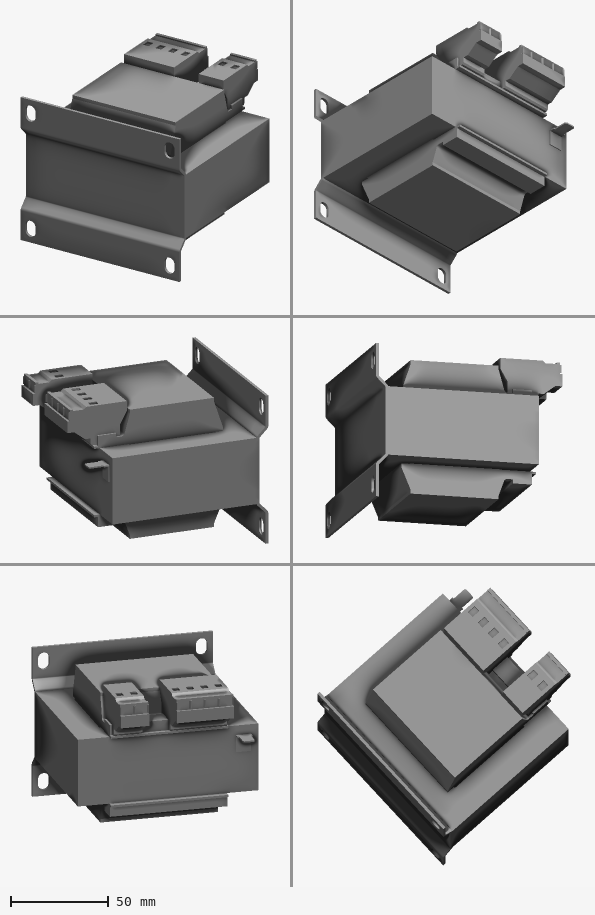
import cadquery as cq
import math


WIDTH = 96.0
BRACKET_HEIGHT = 80.5
MID_Z = BRACKET_HEIGHT / 2
SHEET = 1.5
BRACKET_OFFSET = 5.0
WEB_HALF_HEIGHT = 17.75
BEND_ANGLE = 45.0
BEND_RADIUS = 0.7
SLOT_WIDTH = 6.0
SLOT_LENGTH = 9.0
SLOT_SPACING_X = 84.0
SLOT_SPACING_Z = 65.0

CORE_STACK = 36.0
LEG = WIDTH / 6
CORE_DEPTH = 5 * LEG
CORE_FRONT = BRACKET_OFFSET + SHEET
CORE_BACK = CORE_FRONT + CORE_DEPTH
CORE_TOP = MID_Z + CORE_STACK / 2
WINDOW_FRONT = CORE_FRONT + LEG
WINDOW_BACK = CORE_BACK - LEG

FORMER_WIDTH = 62.5
FORMER_TOP = 36.6
FORMER_BOTTOM = 33.6
FORMER_FRONT = 18.15
FORMER_FACE_FRONT = 23.1
FORMER_FACE_BACK = 69.8
FACE_EDGE = 1.9
FRONT_EDGE = 2.1
GROOVE_HEIGHT = CORE_STACK / 2 + 4.7
GROOVE_FRONT = 73.15
GROOVE_BACK = 77.4
GROOVE_FILLET = 1.75
RAIL_HEIGHT = CORE_STACK / 2 + 6.8
RAIL_BACK = 87.5
LIP_BACK = 89.6
LIP_THICKNESS = 1.2

BLOCK_WIDTH = 15.1
FIRST_BLOCK_LEFT = -30.1
THIRD_BLOCK_LEFT = 14.95
BLOCK_LEFT_EDGES = (FIRST_BLOCK_LEFT, FIRST_BLOCK_LEFT + BLOCK_WIDTH, THIRD_BLOCK_LEFT)
POLES = 2
POLE_PITCH = BLOCK_WIDTH / POLES
BLOCK_FRONT = 71.0
BLOCK_BACK = 104.0
BLOCK_TOP = 81.3
BLOCK_FRONT_BOTTOM = 75.9
BLOCK_BACK_WALL = 102.7
BLOCK_BACK_WALL_TOP = 80.8
LEDGE_TOP = 74.8
LEDGE_BOTTOM = 68.4
UNDERSIDE_BACK = 100.3
UNDERSIDE_FRONT = 94.2
UNDERSIDE_BOTTOM = 63.8
REAR_CLAW_BACK = 91.2
REAR_CLAW_BOTTOM = 59.9
REAR_CLAW_BEVEL_Y = 0.8
REAR_CLAW_BEVEL_Z = 1.0
FRONT_CLAW_FRONT = 74.8
FRONT_CLAW_TOP = 69.2
RECESS_FLOOR = 80.0
RECESS_BACK = 101.0
RECESS_FRONT = 95.0
RECESS_SLOPE_FRONT = 93.6
POCKET_WIDTH = 3.5
POCKET_LENGTH = 4.6
POCKET_DEPTH = 1.0
POCKET_Y = 88.1
RIB_HALF_WIDTH = 0.8
RIB_BACK = 103.4
RIB_BOTTOM = 75.4
RIB_TOP = 79.5

TAB_X = -40.0
TAB_THICKNESS = 0.8
TAB_TOP = 53.2
TAB_BASE_WIDTH = 8.0
TAB_BASE_BACK = 89.6
BLADE_WIDTH = 6.3
BLADE_BACK = 97.6
BLADE_CORNER = 1.0
FOOT_THICKNESS = 0.5
FOOT_BOTTOM = 44.0


def box(x_range, y_range, z_range):
    """Box between the given limits."""
    sizes = [high - low for low, high in (x_range, y_range, z_range)]
    corner = (x_range[0], y_range[0], z_range[0])
    return cq.Workplane("XY").box(*sizes, centered=False).translate(corner)


def centred_box(x, width, y_range, z_range):
    """Box of the given width about x."""
    return box((x - width / 2, x + width / 2), y_range, z_range)


def side_profile(points, left, width):
    """Outline of (y, z) points extruded along +X from the left edge."""
    return cq.Workplane("YZ", origin=(left, 0, 0)).polyline(points).close().extrude(width)


def make_bracket():
    corner_shift = SHEET * math.tan(math.radians(BEND_ANGLE / 2))
    rise = BRACKET_OFFSET * math.tan(math.radians(BEND_ANGLE))
    inner_front = (BRACKET_OFFSET, WEB_HALF_HEIGHT)
    outer_front = (0, WEB_HALF_HEIGHT + rise)
    inner_rear = (BRACKET_OFFSET + SHEET, WEB_HALF_HEIGHT + corner_shift)
    outer_rear = (SHEET, WEB_HALF_HEIGHT + rise + corner_shift)
    flange_end = [(0, BRACKET_HEIGHT / 2), (SHEET, BRACKET_HEIGHT / 2)]
    upper = [inner_front, outer_front, *flange_end, outer_rear, inner_rear]
    lower = [(y, -height) for y, height in reversed(upper)]
    outline = [(y, MID_Z + height) for y, height in upper + lower]
    bracket = side_profile(outline, -WIDTH / 2, WIDTH)

    def round_bends(body, corners, radius):
        """Fillet the X edges at these corners, above and below the mid plane."""
        edges = []
        for y, height in corners:
            for side in (1, -1):
                nearest = cq.selectors.NearestToPointSelector((0, y, MID_Z + side * height))
                edges += body.edges("|X").edges(nearest).vals()
        return body.newObject(edges).fillet(radius)

    bracket = round_bends(bracket, (inner_front, outer_rear), BEND_RADIUS)
    bracket = round_bends(bracket, (outer_front, inner_rear), BEND_RADIUS + SHEET)

    slots = (
        cq.Workplane("XZ", origin=(0, 0, MID_Z))
        .rarray(SLOT_SPACING_X, SLOT_SPACING_Z, 2, 2)
        .slot2D(SLOT_LENGTH, SLOT_WIDTH, 90)
        .extrude(-SHEET)
    )
    return bracket.cut(slots)


def make_core():
    stack = (CORE_TOP - CORE_STACK, CORE_TOP)
    core = centred_box(0, WIDTH, (CORE_FRONT, CORE_BACK), stack)
    window = centred_box(0, WIDTH - 2 * LEG, (WINDOW_FRONT, WINDOW_BACK), stack)
    return core.cut(window)


def former_half(face_height, side):
    """Coil former above (side = 1) or below (side = -1) the core."""
    core_height = CORE_STACK / 2
    lip_height = core_height + LIP_THICKNESS
    heights = [
        (FORMER_FRONT, core_height),
        (FORMER_FRONT, core_height + FRONT_EDGE),
        (FORMER_FACE_FRONT, face_height - FACE_EDGE),
        (FORMER_FACE_FRONT, face_height),
        (FORMER_FACE_BACK, face_height),
        (FORMER_FACE_BACK, face_height - FACE_EDGE),
        (GROOVE_FRONT, GROOVE_HEIGHT),
        (GROOVE_BACK, GROOVE_HEIGHT),
        (GROOVE_BACK, RAIL_HEIGHT),
        (RAIL_BACK, RAIL_HEIGHT),
        (RAIL_BACK, lip_height),
        (LIP_BACK, lip_height),
        (LIP_BACK, core_height),
    ]
    outline = [(y, MID_Z + side * height) for y, height in heights]
    half = side_profile(outline, -FORMER_WIDTH / 2, FORMER_WIDTH)
    groove_corner = cq.selectors.NearestToPointSelector(
        (0, GROOVE_FRONT, MID_Z + side * GROOVE_HEIGHT)
    )
    return half.edges("|X").edges(groove_corner).fillet(GROOVE_FILLET)


def make_coil():
    """Coil former halves joined by the winding, which fills the core window lengthwise."""
    winding = centred_box(
        0, FORMER_WIDTH, (WINDOW_FRONT, WINDOW_BACK), (CORE_TOP - CORE_STACK, CORE_TOP)
    )
    return winding.union(former_half(FORMER_TOP, 1)).union(former_half(FORMER_BOTTOM, -1))


def make_rib(x, left, right):
    """Small triangular rib on the back wall of a block, trimmed to the block sides."""
    rib = (
        cq.Workplane("XY", origin=(x, BLOCK_BACK_WALL, RIB_BOTTOM))
        .polyline([(-RIB_HALF_WIDTH, 0), (RIB_HALF_WIDTH, 0), (0, RIB_BACK - BLOCK_BACK_WALL)])
        .close()
        .extrude(RIB_TOP - RIB_BOTTOM)
    )
    return rib.intersect(box((left, right), (BLOCK_FRONT, BLOCK_BACK), (RIB_BOTTOM, RIB_TOP)))


def make_terminal_block(left):
    rail_top = MID_Z + RAIL_HEIGHT
    groove_floor = MID_Z + GROOVE_HEIGHT
    outline = [
        (BLOCK_FRONT, BLOCK_TOP),
        (BLOCK_FRONT, BLOCK_FRONT_BOTTOM),
        (FRONT_CLAW_FRONT, FRONT_CLAW_TOP),
        (FRONT_CLAW_FRONT, groove_floor),
        (GROOVE_BACK, groove_floor),
        (GROOVE_BACK, rail_top),
        (RAIL_BACK, rail_top),
        (RAIL_BACK, REAR_CLAW_BOTTOM),
        (REAR_CLAW_BACK - REAR_CLAW_BEVEL_Y, REAR_CLAW_BOTTOM),
        (REAR_CLAW_BACK, REAR_CLAW_BOTTOM + REAR_CLAW_BEVEL_Z),
        (REAR_CLAW_BACK, UNDERSIDE_BOTTOM),
        (UNDERSIDE_FRONT, UNDERSIDE_BOTTOM),
        (UNDERSIDE_BACK, LEDGE_BOTTOM),
        (BLOCK_BACK, LEDGE_BOTTOM),
        (BLOCK_BACK, LEDGE_TOP),
        (BLOCK_BACK_WALL, LEDGE_TOP),
        (BLOCK_BACK_WALL, BLOCK_BACK_WALL_TOP),
        (RECESS_BACK, BLOCK_BACK_WALL_TOP),
        (RECESS_BACK, RECESS_FLOOR),
        (RECESS_FRONT, RECESS_FLOOR),
        (RECESS_SLOPE_FRONT, BLOCK_TOP),
    ]
    block = side_profile(outline, left, BLOCK_WIDTH)
    for pole in range(POLES):
        pocket = centred_box(
            left + (pole + 0.5) * POLE_PITCH,
            POCKET_WIDTH,
            (POCKET_Y - POCKET_LENGTH / 2, POCKET_Y + POCKET_LENGTH / 2),
            (BLOCK_TOP - POCKET_DEPTH, BLOCK_TOP),
        )
        block = block.cut(pocket)
    for boundary in range(POLES + 1):
        rib_x = left + boundary * POLE_PITCH
        block = block.union(make_rib(rib_x, left, left + BLOCK_WIDTH))
    return block


def make_earth_tab():
    """Bent tab: a foot flat on the back of the core and a blade pointing to +Y."""
    thickness = (TAB_TOP - TAB_THICKNESS, TAB_TOP)
    foot = centred_box(
        TAB_X, TAB_BASE_WIDTH, (CORE_BACK, CORE_BACK + FOOT_THICKNESS), (FOOT_BOTTOM, TAB_TOP)
    )
    base = centred_box(TAB_X, TAB_BASE_WIDTH, (CORE_BACK, TAB_BASE_BACK), thickness)
    blade = centred_box(TAB_X, BLADE_WIDTH, (CORE_BACK, BLADE_BACK), thickness)
    blade = blade.edges("|Z and >Y").fillet(BLADE_CORNER)
    return foot.union(base).union(blade)


result = make_core().union(make_bracket()).union(make_coil()).union(make_earth_tab())
for left_edge in BLOCK_LEFT_EDGES:
    result = result.union(make_terminal_block(left_edge))